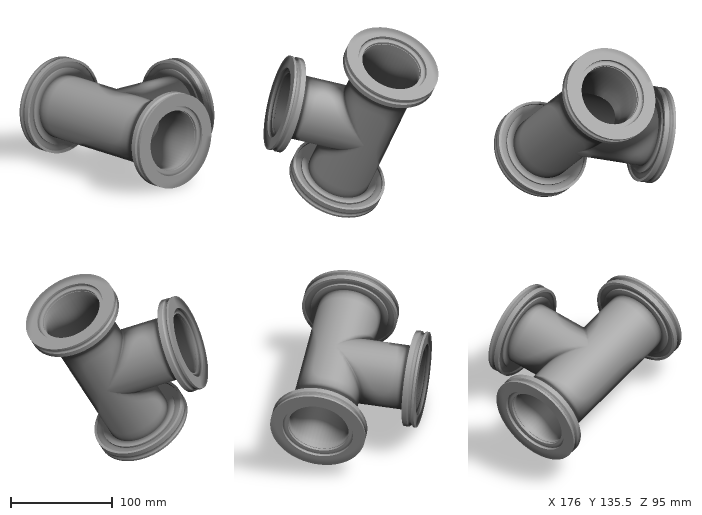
import cadquery as cq

run_length = 176.0
branch_reach = 88.0

tube_diameter = 63.5
bore_diameter = 60.2
seam_fillet_radius = 1.4

flange_diameter = 95.0
flange_thickness = 12.0
seal_recess_diameter = 70.5
seal_recess_depth = 3.0
throat_diameter = 61.0
tube_stop_depth = 5.5
hub_diameter = 77.3
back_groove_diameter = 90.0
back_groove_depth = 2.1

groove_start = 2.3
groove_width = 4.8
groove_flank_width = 1.15
groove_flank_depth = 1.4
groove_depth = 1.8


def make_rod(diameter, start, length):
    """Cylinder along Z, starting at the given height."""
    return cq.Workplane("XY").workplane(offset=start).circle(diameter / 2).extrude(length)


def make_groove_cutter():
    """Ring with tapered flanks and a rounded floor, turned about Z."""
    rim = flange_diameter / 2
    floor_edge = rim - groove_flank_depth
    groove_end = groove_start + groove_width
    return (
        cq.Workplane("XZ")
        .moveTo(rim, groove_start)
        .lineTo(floor_edge, groove_start + groove_flank_width)
        .threePointArc(
            (rim - groove_depth, groove_start + groove_width / 2),
            (floor_edge, groove_end - groove_flank_width),
        )
        .lineTo(rim, groove_end)
        .close()
        .revolve(360, (0, 0, 0), (0, 1, 0))
    )


def make_flange():
    """Flange about Z with its front face at Z = 0 and its back toward +Z."""
    flange = make_rod(flange_diameter, 0, flange_thickness)
    flange = flange.cut(make_groove_cutter())

    flange = flange.cut(make_rod(seal_recess_diameter, 0, seal_recess_depth))
    flange = flange.cut(make_rod(throat_diameter, 0, tube_stop_depth))
    flange = flange.cut(make_rod(tube_diameter, tube_stop_depth, flange_thickness - tube_stop_depth))

    groove_floor = flange_thickness - back_groove_depth
    back_groove = make_rod(back_groove_diameter, groove_floor, back_groove_depth)
    hub = make_rod(hub_diameter, groove_floor, back_groove_depth)
    flange = flange.cut(back_groove.cut(hub))
    return flange.solids()


def make_tee_rods(diameter):
    """Solid tee: a run rod along X joined to a branch rod along +Y."""
    run_half = run_length / 2 - tube_stop_depth
    run = cq.Workplane("YZ").circle(diameter / 2).extrude(run_half, both=True)
    branch = cq.Workplane("XZ").circle(diameter / 2).extrude(-(branch_reach - tube_stop_depth))
    return run.union(branch)


def make_tee():
    """Tee tube, filleted where the branch leaves the run, with one bore through both."""
    outside = make_tee_rods(tube_diameter)
    outside = outside.edges("%ELLIPSE").fillet(seam_fillet_radius)
    return outside.cut(make_tee_rods(bore_diameter)).solids()


flange_seats = [
    ((-run_length / 2, 0, 0), (1, 0, 0)),
    ((run_length / 2, 0, 0), (-1, 0, 0)),
    ((0, branch_reach, 0), (0, -1, 0)),
]

tee = make_tee()
flanges = []
for origin, inward in flange_seats:
    seat = cq.Plane(origin=origin, xDir=(0, 0, 1), normal=inward)
    flanges.append(make_flange().val().moved(cq.Location(seat)))

result = cq.Compound.makeCompound([tee.val(), *flanges])